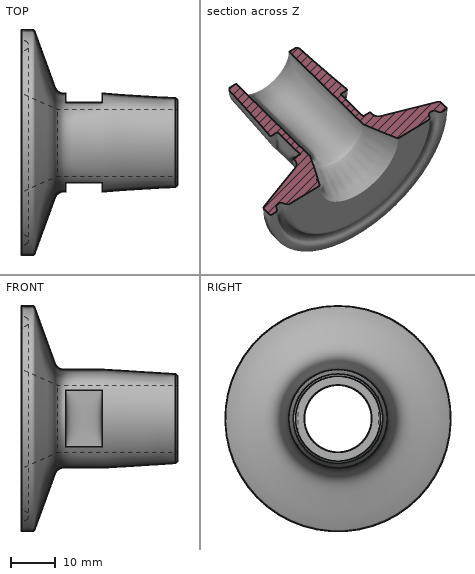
import cadquery as cq
import math

total_length = 35.0
flange_radius = 50.5 / 2
neck_radius = 22.0 / 2

front_edge_round = 0.3
rim_edge_x = 2.85
rim_edge_round = 0.65
clamp_cone_angle = 20.0
neck_fillet = 2.0

spigot_start_x = 18.5
spigot_taper = 1 / 16
spigot_end_chamfer = 0.5

bore_radius = 15.0 / 2
entry_radius = 22.2 / 2
entry_depth = 8.1

groove_mean_radius = 43.5 / 2
groove_half_width = 2.0
groove_lip_round = 0.9
groove_bottom_round = 1.1
groove_depth = 1.6
groove_wall_angle = 20.0

across_flats = 18.0
flat_start_x = 10.0
flat_length = 8.1


def revolve_about_x(profile):
    """Revolve a closed profile drawn in the XZ plane (Z = radius) about the X axis."""
    return profile.close().revolve(360, (0, 0, 0), (1, 0, 0))


def arc_point(center, radius, angle_degrees):
    """Point on a circle, the angle being measured from +X."""
    angle = math.radians(angle_degrees)
    return (center[0] + radius * math.cos(angle), center[1] + radius * math.sin(angle))


def make_body():
    """Flange, clamp cone, neck and tapered spigot as one solid of revolution."""
    cone_run = math.tan(math.radians(clamp_cone_angle))
    cone_turn = 90 - clamp_cone_angle
    round_setback = math.tan(math.radians(cone_turn / 2))

    rim_round_center = (rim_edge_x - rim_edge_round * round_setback, flange_radius - rim_edge_round)
    cone_end_x = rim_edge_x + (flange_radius - neck_radius) * cone_run
    neck_fillet_center = (cone_end_x + neck_fillet * round_setback, neck_radius + neck_fillet)
    front_round_center = (front_edge_round, flange_radius - front_edge_round)
    spigot_end_radius = neck_radius - spigot_taper * (total_length - spigot_start_x)
    chamfer_start_x = total_length - spigot_end_chamfer
    chamfer_start_radius = spigot_end_radius + spigot_taper * spigot_end_chamfer

    profile = (
        cq.Workplane("XZ")
        .lineTo(0, front_round_center[1])
        .threePointArc(
            arc_point(front_round_center, front_edge_round, 135),
            (front_round_center[0], flange_radius),
        )
        .lineTo(rim_round_center[0], flange_radius)
        .threePointArc(
            arc_point(rim_round_center, rim_edge_round, 90 - cone_turn / 2),
            arc_point(rim_round_center, rim_edge_round, clamp_cone_angle),
        )
        .lineTo(*arc_point(neck_fillet_center, neck_fillet, 180 + clamp_cone_angle))
        .threePointArc(
            arc_point(neck_fillet_center, neck_fillet, 270 - cone_turn / 2),
            (neck_fillet_center[0], neck_radius),
        )
        .lineTo(spigot_start_x, neck_radius)
        .lineTo(chamfer_start_x, chamfer_start_radius)
        .lineTo(total_length, chamfer_start_radius - spigot_end_chamfer)
        .lineTo(total_length, 0)
    )
    return revolve_about_x(profile)


def make_bore():
    """Through bore with a conical entry at the sealing face."""
    profile = (
        cq.Workplane("XZ")
        .lineTo(0, entry_radius)
        .lineTo(entry_depth, bore_radius)
        .lineTo(total_length, bore_radius)
        .lineTo(total_length, 0)
    )
    return revolve_about_x(profile)


def make_groove():
    """Ring groove with rounded lips, sloping walls and a round bottom."""
    outer_lip_center = (groove_lip_round, groove_mean_radius + groove_half_width)
    inner_lip_center = (groove_lip_round, groove_mean_radius - groove_half_width)
    bottom_center = (groove_depth - groove_bottom_round, groove_mean_radius)
    lip_end = 270 - groove_wall_angle
    lip_middle = (180 + lip_end) / 2
    bottom_start = 90 - groove_wall_angle

    profile = (
        cq.Workplane("XZ")
        .moveTo(0, outer_lip_center[1])
        .threePointArc(
            arc_point(outer_lip_center, groove_lip_round, lip_middle),
            arc_point(outer_lip_center, groove_lip_round, lip_end),
        )
        .lineTo(*arc_point(bottom_center, groove_bottom_round, bottom_start))
        .threePointArc(
            (groove_depth, groove_mean_radius),
            arc_point(bottom_center, groove_bottom_round, -bottom_start),
        )
        .lineTo(*arc_point(inner_lip_center, groove_lip_round, -lip_end))
        .threePointArc(
            arc_point(inner_lip_center, groove_lip_round, -lip_middle),
            (0, inner_lip_center[1]),
        )
    )
    return revolve_about_x(profile)


def make_flat_cut(side):
    """Block that mills one wrench flat; side is +1 or -1 along Y."""
    cut_height = neck_radius
    center = (flat_start_x + flat_length / 2, side * (across_flats + cut_height) / 2, 0)
    return cq.Workplane("XY").box(flat_length, cut_height, 2 * neck_radius).translate(center)


result = make_body().cut(make_bore()).cut(make_groove())
for flat_side in (1, -1):
    result = result.cut(make_flat_cut(flat_side))